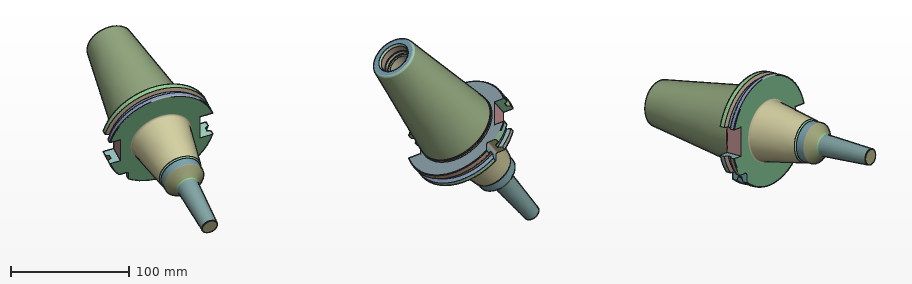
import cadquery as cq
import math

total_length = 231.5

taper_end_x = 100.7
taper_end_radius = 35.0
taper_slope = 7 / 24 / 2
shank_end_round = 1.9
relief_start_x = 102.1
relief_width = 1.5
relief_depth = 0.2
flare_radius = 35.2

flange_start_x = 105.0
flange_end_x = 120.5
flange_diameter = 97.5
flange_rim_round = 0.58
groove_center_x = 113.0
groove_mouth_width = 6.5
groove_floor_width = 3.2
groove_floor_radius = 45.6

slot_width = 25.7
slot_floor_plus_y = 35.2
slot_floor_minus_y = 37.3
notch_wall_y = -29.9
notch_wall_z = -29.6
notch_corner_round = 1.9

body_root_radius = 26.6
body_root_round = 1.5
body_front_x = 163.5
body_front_radius = 19.0
collar_diameter = 36.0
collar_start_x = 165.0
collar_end_x = 173.0
collar_edge_round = 1.0

nose_root_radius = 9.5
nose_root_round = 1.9
nose_tip_radius = 7.2
nose_tip_chamfer = 0.5

mouth_radius = 14.4
mouth_chamfer_depth = 2.0
pilot_radius = 13.2
pilot_depth = 8.0
relief_bore_radius = 12.3
relief_bore_depth = 11.1
core_chamfer_radius = 11.1
core_radius = 10.2
core_depth = 41.7
drill_tip_half_angle = math.radians(59)

flange_radius = flange_diameter / 2
flange_thickness = flange_end_x - flange_start_x
collar_radius = collar_diameter / 2
nose_start_x = collar_end_x + collar_radius - nose_root_radius


def revolve_about_x(points):
    """Turn a closed (x, radius) outline about the X axis."""
    return cq.Workplane("XY").polyline(points).close().revolve(360, (0, 0, 0), (1, 0, 0))


def circles_at(x):
    """Selector for the full circular edges centered on the axis at x."""
    reach = 0.02
    return cq.selectors.BoxSelector((x - reach, -reach, -reach), (x + reach, reach, reach))


def make_shank():
    """Tapered shank with its relief ring, rounded at the small end."""
    small_end_radius = taper_end_radius - taper_slope * taper_end_x
    relief_end_x = relief_start_x + relief_width
    relief_radius = taper_end_radius - relief_depth
    shank = revolve_about_x([
        (0, 0),
        (0, small_end_radius),
        (taper_end_x, taper_end_radius),
        (relief_start_x, taper_end_radius),
        (relief_start_x, relief_radius),
        (relief_end_x, relief_radius),
        (relief_end_x, taper_end_radius),
        (flange_start_x, flare_radius),
        (flange_start_x, 0),
    ])
    return shank.edges(circles_at(0)).fillet(shank_end_round)


def make_groove():
    """Ring that leaves the gripper groove in the flange rim."""
    half_floor = groove_floor_width / 2
    half_mouth = groove_mouth_width / 2
    return revolve_about_x([
        (groove_center_x - half_floor, groove_floor_radius),
        (groove_center_x + half_floor, groove_floor_radius),
        (groove_center_x + half_mouth, flange_radius),
        (groove_center_x - half_mouth, flange_radius),
    ])


def make_slot(side, floor):
    """Drive slot cutter on the +Y (side = 1) or -Y (side = -1) side of the flange."""
    depth = flange_radius - floor
    center = (flange_start_x + flange_thickness / 2, side * (floor + depth / 2), 0)
    return cq.Workplane("XY").box(flange_thickness, depth, slot_width).translate(center)


def make_notch():
    """Orientation notch cutter in the -Y, -Z quarter, with a rounded inner corner."""
    return (
        cq.Workplane("XY")
        .box(flange_thickness, flange_radius, flange_radius, centered=False)
        .translate((flange_start_x, notch_wall_y - flange_radius, notch_wall_z - flange_radius))
        .edges("|X and >Y and >Z")
        .fillet(notch_corner_round)
    )


def make_flange():
    """Flange disc with rounded rims, gripper groove, drive slots and notch."""
    disc = (
        cq.Workplane("YZ", origin=(flange_start_x, 0, 0))
        .circle(flange_radius)
        .extrude(flange_thickness)
        .faces("<X or >X")
        .edges()
        .fillet(flange_rim_round)
    )
    flange = disc.cut(make_groove()).cut(make_notch())
    for side, floor in ((1, slot_floor_plus_y), (-1, slot_floor_minus_y)):
        flange = flange.cut(make_slot(side, floor))
    return flange


def make_body():
    """Conical chuck body, collar and shoulder, ending in the slender nose."""
    body = revolve_about_x([
        (flange_start_x, 0),
        (flange_start_x, body_root_radius),
        (flange_end_x, body_root_radius),
        (body_front_x, body_front_radius),
        (collar_start_x, collar_radius),
        (collar_end_x, collar_radius),
        (nose_start_x, nose_root_radius),
        (total_length - nose_tip_chamfer, nose_tip_radius),
        (total_length, nose_tip_radius - nose_tip_chamfer),
        (total_length, 0),
    ])
    body = body.edges(circles_at(collar_end_x)).fillet(collar_edge_round)
    return body.edges(circles_at(nose_start_x)).fillet(nose_root_round)


def make_pull_stud_bore():
    """Chamfered pilot bore, relief step and drilled core with a cone tip."""
    core_start_x = relief_bore_depth + core_chamfer_radius - core_radius
    tip_length = core_radius / math.tan(drill_tip_half_angle)
    return revolve_about_x([
        (0, 0),
        (0, mouth_radius),
        (mouth_chamfer_depth, pilot_radius),
        (pilot_depth, pilot_radius),
        (pilot_depth, relief_bore_radius),
        (relief_bore_depth, relief_bore_radius),
        (relief_bore_depth, core_chamfer_radius),
        (core_start_x, core_radius),
        (core_depth, core_radius),
        (core_depth + tip_length, 0),
    ])


holder = make_shank().union(make_flange()).union(make_body())
holder = holder.edges(circles_at(flange_end_x)).fillet(body_root_round)
result = holder.cut(make_pull_stud_bore())